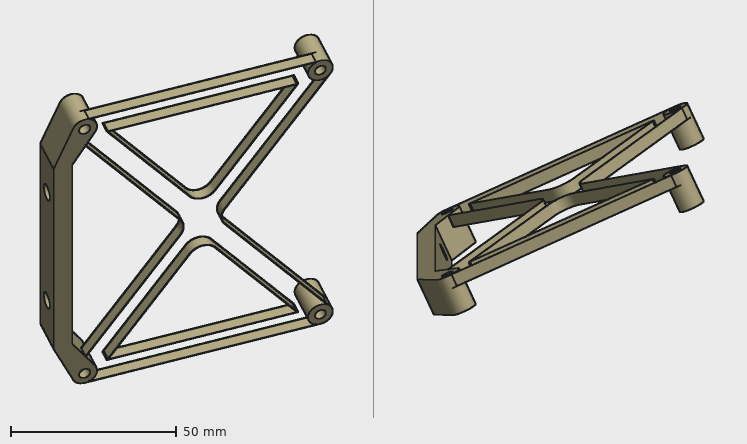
import cadquery as cq
import math

depth = 12.0
length = 90.0
height = 110.0
boss_diameter = 8.0
boss_radius = boss_diameter / 2

front_boss_y = 10.0
rear_boss_y = length - boss_radius
boss_z = height / 2 - boss_radius
spacer_bore = 3.5
bracket_bore = 3.6

bracket_thickness = 6.0
outer_bend_z = 37.6
inner_bend_z = 37.4
mount_hole_diameter = 5.3
mount_hole_z = 22.5

frame_depth = 4.0
frame_start_x = depth - frame_depth
frame_middle_x = frame_start_x + frame_depth / 2
wall = 0.25
notch_fillet = 5.0
loop_fillet = 5.0
loop_base_z = 47.5

frame_centre_y = (front_boss_y + rear_boss_y) / 2
half_span_y = rear_boss_y - frame_centre_y
diagonal = math.hypot(half_span_y, boss_z)
diagonal_y = half_span_y / diagonal
diagonal_z = boss_z / diagonal


def frame_prism(profile):
    """Extrude a closed YZ profile through the depth of the frame."""
    return profile.extrude(frame_depth).translate((frame_start_x, 0, 0))


def x_cylinder(y, z, diameter):
    """Cylinder along X through the full depth, centred at (y, z)."""
    return cq.Workplane("YZ").center(y, z).circle(diameter / 2).extrude(depth)


def tangent_point(centre, radius, point, side):
    """Point where a line from `point` touches a circle; `side` is +1 or -1."""
    dy = point[0] - centre[0]
    dz = point[1] - centre[1]
    angle = math.atan2(dz, dy) + side * math.acos(radius / math.hypot(dy, dz))
    return (centre[0] + radius * math.cos(angle), centre[1] + radius * math.sin(angle))


def frame_outline(margin):
    """Solid X-frame outline whose edges lie `margin` outside the lines joining the bosses.

    The short chord at each corner lies inside a boss.
    """
    side_y = half_span_y + margin * diagonal_z
    side_z = boss_z - margin * diagonal_y
    top_z = boss_z + margin
    notch_y = margin / diagonal_z
    outline = (
        cq.Workplane("YZ")
        .moveTo(-half_span_y, top_z)
        .lineTo(half_span_y, top_z)
        .lineTo(side_y, side_z)
        .lineTo(notch_y, 0)
        .lineTo(side_y, -side_z)
        .lineTo(half_span_y, -top_z)
        .lineTo(-half_span_y, -top_z)
        .lineTo(-side_y, -side_z)
        .lineTo(-notch_y, 0)
        .lineTo(-side_y, side_z)
        .close()
    )
    solid = frame_prism(outline)
    for notch in (-notch_y, notch_y):
        corner = cq.selectors.NearestToPointSelector((frame_middle_x, notch, 0))
        solid = solid.edges(corner).fillet(notch_fillet + boss_radius - margin)
    return solid.translate((0, frame_centre_y, 0))


def triangle(growth):
    """Upper triangular opening of the frame, enlarged by `growth` on every side."""
    tip_z = (boss_radius - growth) / diagonal_y
    base_z = loop_base_z + growth
    base_y = (base_z - tip_z) * diagonal_y / diagonal_z
    outline = cq.Workplane("YZ").polyline([(0, tip_z), (base_y, base_z), (-base_y, base_z)]).close()
    tip = cq.selectors.NearestToPointSelector((frame_middle_x, 0, tip_z))
    solid = frame_prism(outline).edges(tip).fillet(loop_fillet + growth)
    return solid.translate((0, frame_centre_y, 0))


def bracket():
    """Cranked bar along the front edge, ending in the two front bosses."""
    upper_boss = (front_boss_y, boss_z)
    outer_bend = (0, outer_bend_z)
    inner_bend = (bracket_thickness, inner_bend_z)
    outer_touch = tangent_point(upper_boss, boss_radius, outer_bend, -1)
    inner_touch = tangent_point(upper_boss, boss_radius, inner_bend, 1)
    upper = [outer_bend, outer_touch, upper_boss, inner_touch, inner_bend]
    lower = [(y, -z) for y, z in reversed(upper)]
    bar = cq.Workplane("YZ").polyline(upper + lower).close().extrude(depth)
    mount_holes = (
        cq.Workplane("XZ")
        .pushPoints([(depth / 2, mount_hole_z), (depth / 2, -mount_hole_z)])
        .circle(mount_hole_diameter / 2)
        .extrude(-bracket_thickness)
    )
    return bar.cut(mount_holes)


def support():
    """Bracket, rear spacers and outer frame wall as one body."""
    body = bracket().union(frame_outline(boss_radius).cut(frame_outline(boss_radius - wall)))
    for z in (boss_z, -boss_z):
        body = body.union(x_cylinder(front_boss_y, z, boss_diameter))
        body = body.union(x_cylinder(rear_boss_y, z, boss_diameter))
    for z in (boss_z, -boss_z):
        body = body.cut(x_cylinder(front_boss_y, z, bracket_bore))
        body = body.cut(x_cylinder(rear_boss_y, z, spacer_bore))
    return body


def triangular_loop(turn):
    """Thin wall around a triangular opening, turned about the frame's X axis."""
    loop = triangle(wall).cut(triangle(0))
    return loop.rotate((0, frame_centre_y, 0), (1, frame_centre_y, 0), turn)


support_body = support()
triangular_loops = [triangular_loop(turn) for turn in (0, 180)]

result = cq.Compound.makeCompound([support_body.val(), *[loop.val() for loop in triangular_loops]])